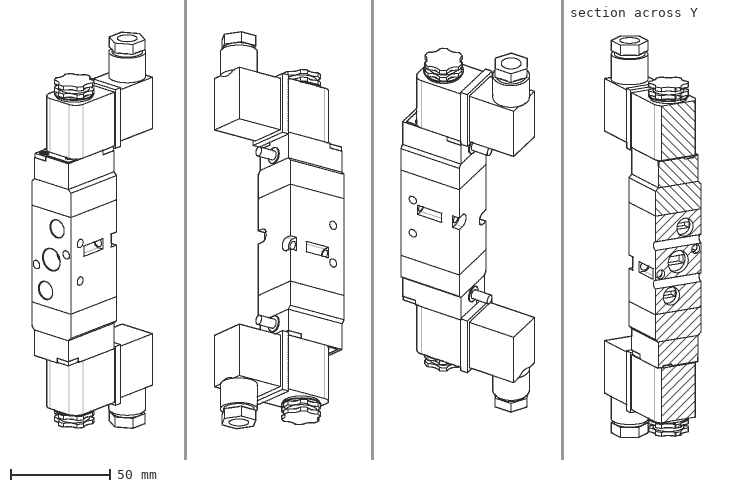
import cadquery as cq
import math


BODY_WIDTH = 26.5
BODY_DEPTH = 34.3
BODY_HALF_LENGTH = 26.0
CAP_END_Z = 40.7
CAP_CHAMFER = 1.7

MAIN_PORT_DIAMETER = 11.4
MAIN_POCKET_WIDTH = 8.9
MAIN_POCKET_HEIGHT = 4.3
SIDE_PORT_DIAMETER = 9.0
SIDE_POCKET_WIDTH = 7.9
SIDE_POCKET_HEIGHT = 3.0
SIDE_PORT_X = 4.0
SIDE_PORT_Z = 17.5
PORT_DEPTH = 10.3
PORT_CHAMFER = 0.3
POCKET_DEPTH = 4.1

HOLE_DIAMETER = 4.3
MOUNT_X = 10.1
MOUNT_Z = 5.2
SLOT_HEIGHT = 5.5
SLOT_START_Y = 10.0
SLOT_END_Y = 24.0
NUT_SLOT_HEIGHT = 7.0
NUT_SLOT_DEPTH = 4.0
CROSS_HOLE_Y = 7.0
CROSS_HOLE_Z = 10.1

PILOT_WIDTH = 23.1
PILOT_END_Z = 54.5
RELIEF = 0.2
CORNER_SIZE = 7.6
BACK_CORNER_LENGTH = 8.3
CORNER_HEIGHT = 2.5
RIM_SIDE = 1.2
RIM_FRONT = 1.7
SCREW_X = -7.9
SCREW_Y = 3.3
SCREW_HOLE_DIAMETER = 4.8
SCREW_HEAD_DIAMETER = 4.3
SCREW_RECESS_DEPTH = 1.0
SCREW_SLOT_WIDTH = 0.8
SCREW_SLOT_DEPTH = 0.6
VENT_X = 6.2
VENT_Y = 7.2
VENT_DIAMETER = 4.8
VENT_DEPTH = 1.0
PIN_Z = 45.2
PIN_DIAMETER = 4.8
PIN_END_Y = 44.2
COLLAR_DIAMETER = 8.3
COLLAR_THICKNESS = 0.6

COIL_FRONT_Y = 6.0
COIL_END_Z = 83.5
COIL_CORNER_RADIUS = 5.2
PLATE_FRONT_Y = 34.5
PLATE_BACK_Y = 38.5
PLATE_WIDTH = 24.4
PLATE_START_Z = 53.3
PLATE_END_Z = 85.0
PLUG_WIDTH = 20.7
PLUG_BACK_Y = 64.5
PLUG_START_Z = 55.2
PLUG_END_Z = 82.8

GLAND_Y = 56.8
GLAND_DIAMETER = 18.5
GLAND_START_Z = 81.0
GLAND_CHAMFER = 1.9
GLAND_END_Z = 96.0
GLAND_NECK_DIAMETER = 15.5
HEX_START_Z = 98.0
END_Z = 103.3
CABLE_HOLE_DIAMETER = 10.0
CABLE_HOLE_DEPTH = 8.3

NUT_Y = 17.1
NUT_DIAMETER = 20.0
NUT_NECK_DIAMETER = 18.5
NUT_CORE_DIAMETER = 15.5
WASHER_START_Z = 84.7
WASHER_END_Z = 85.1
RING_STARTS_Z = (85.5, 89.7)
RING_HEIGHT = 2.0
SCALLOP_COUNT = 6
SCALLOP_RADIUS = 5.5
SCALLOP_FLOOR_RADIUS = 8.3


def box(x_range, y_range, z_range):
    """Box between the given low and high limits on each axis."""
    lows, highs = zip(x_range, y_range, z_range)
    sizes = [high - low for low, high in zip(lows, highs)]
    return cq.Workplane("XY").box(*sizes, centered=False).translate(lows)


def centred_box(width, y_range, z_range):
    """Box of the given width, symmetric about x = 0."""
    return box((-width / 2, width / 2), y_range, z_range)


def z_cylinder(diameter, x, y, z_range):
    """Cylinder along Z."""
    low, high = z_range
    return cq.Workplane("XY", origin=(x, y, low)).circle(diameter / 2).extrude(high - low)


def y_cylinder(diameter, x, z, y_range):
    """Cylinder along Y."""
    low, high = y_range
    return cq.Workplane("XZ", origin=(x, low, z)).circle(diameter / 2).extrude(low - high)


def half_turn(shape):
    """The shape turned 180 degrees about the Y axis."""
    return shape.rotate((0, 0, 0), (0, 1, 0), 180)


def port(x, z, diameter, pocket_width, pocket_height):
    """Cutter for a blind, countersunk port with a rectangular pocket in its floor."""
    pocket = box(
        (x - pocket_width / 2, x + pocket_width / 2),
        (0, PORT_DEPTH + POCKET_DEPTH),
        (z - pocket_height / 2, z + pocket_height / 2),
    )
    bore = y_cylinder(diameter, x, z, (0, PORT_DEPTH))
    countersink = (
        cq.Workplane("XZ", origin=(x, 0, z))
        .circle(diameter / 2 + PORT_CHAMFER)
        .extrude(-PORT_CHAMFER, taper=45)
    )
    return bore.union(countersink).union(pocket)


def side_slot(height, y_range):
    """Cutter for a round-ended slot from the -X mounting hole out to the -X wall."""
    opening = box(
        (-BODY_WIDTH / 2, -MOUNT_X),
        y_range,
        (-MOUNT_Z - height / 2, -MOUNT_Z + height / 2),
    )
    return y_cylinder(height, -MOUNT_X, -MOUNT_Z, y_range).union(opening)


def make_valve_body():
    body = centred_box(BODY_WIDTH, (0, BODY_DEPTH), (-BODY_HALF_LENGTH, BODY_HALF_LENGTH))
    body = body.cut(port(0, 0, MAIN_PORT_DIAMETER, MAIN_POCKET_WIDTH, MAIN_POCKET_HEIGHT))

    side_port = port(SIDE_PORT_X, SIDE_PORT_Z, SIDE_PORT_DIAMETER, SIDE_POCKET_WIDTH, SIDE_POCKET_HEIGHT)
    mount_hole = y_cylinder(HOLE_DIAMETER, -MOUNT_X, -MOUNT_Z, (0, BODY_DEPTH))
    middle_slot = side_slot(SLOT_HEIGHT, (SLOT_START_Y, SLOT_END_Y))
    nut_slot = side_slot(NUT_SLOT_HEIGHT, (BODY_DEPTH - NUT_SLOT_DEPTH, BODY_DEPTH))
    cross_hole = (
        cq.Workplane("YZ", origin=(-BODY_WIDTH / 2, CROSS_HOLE_Y, CROSS_HOLE_Z))
        .circle(HOLE_DIAMETER / 2)
        .extrude(BODY_WIDTH)
    )
    for cutter in (side_port, mount_hole, middle_slot, nut_slot, cross_hole):
        body = body.cut(cutter).cut(half_turn(cutter))
    return body


def make_end_cap():
    cap = centred_box(BODY_WIDTH, (0, BODY_DEPTH), (BODY_HALF_LENGTH, CAP_END_Z))
    return cap.faces(">Z").edges("|Y").chamfer(CAP_CHAMFER)


def cut_corner(block, x_side, y_range, y_wall):
    """Set the three outer faces of a top corner back by the relief depth."""
    half_width = PILOT_WIDTH / 2
    x_range = sorted((x_side * half_width, x_side * (half_width - CORNER_SIZE)))
    x_wall = sorted((x_side * half_width, x_side * (half_width - RELIEF)))
    z_range = (PILOT_END_Z - CORNER_HEIGHT, PILOT_END_Z)
    block = block.cut(box(x_range, y_range, (PILOT_END_Z - RELIEF, PILOT_END_Z)))
    block = block.cut(box(x_wall, y_range, z_range))
    return block.cut(box(x_range, y_wall, z_range))


def cut_screw(block):
    """Sink a cross-slotted screw head in the front corner, flush with the corner's top."""
    top = PILOT_END_Z - RELIEF
    depth_range = (top - SCREW_RECESS_DEPTH, top)
    gap = z_cylinder(SCREW_HOLE_DIAMETER, SCREW_X, SCREW_Y, depth_range)
    gap = gap.cut(z_cylinder(SCREW_HEAD_DIAMETER, SCREW_X, SCREW_Y, depth_range))
    block = block.cut(gap)
    for angle in (0, 90):
        slot = (
            cq.Workplane("XY", origin=(SCREW_X, SCREW_Y, top - SCREW_SLOT_DEPTH))
            .transformed(rotate=(0, 0, angle))
            .rect(SCREW_HEAD_DIAMETER, SCREW_SLOT_WIDTH)
            .extrude(SCREW_SLOT_DEPTH)
        )
        block = block.cut(slot)
    return block


def make_pilot_block():
    block = centred_box(PILOT_WIDTH, (0, BODY_DEPTH), (CAP_END_Z, PILOT_END_Z))

    ledge_width = PILOT_WIDTH - 2 * RIM_SIDE
    block = block.cut(
        centred_box(ledge_width, (RIM_FRONT, CORNER_SIZE), (PILOT_END_Z - RELIEF, PILOT_END_Z))
    )
    block = cut_corner(block, -1, (0, CORNER_SIZE), (0, RELIEF))
    block = cut_corner(
        block, 1, (BODY_DEPTH - BACK_CORNER_LENGTH, BODY_DEPTH), (BODY_DEPTH - RELIEF, BODY_DEPTH)
    )
    block = cut_screw(block)
    block = block.cut(z_cylinder(VENT_DIAMETER, VENT_X, VENT_Y, (PILOT_END_Z - VENT_DEPTH, PILOT_END_Z)))

    block = block.union(y_cylinder(COLLAR_DIAMETER, 0, PIN_Z, (BODY_DEPTH, BODY_DEPTH + COLLAR_THICKNESS)))
    return block.union(y_cylinder(PIN_DIAMETER, 0, PIN_Z, (BODY_DEPTH, PIN_END_Y)))


def make_cable_gland():
    gland = z_cylinder(GLAND_DIAMETER, 0, GLAND_Y, (GLAND_START_Z, GLAND_END_Z))
    gland = gland.faces("<Z").chamfer(GLAND_CHAMFER)
    gland = gland.union(z_cylinder(GLAND_NECK_DIAMETER, 0, GLAND_Y, (GLAND_END_Z, HEX_START_Z)))
    hexagon = (
        cq.Workplane("XY", origin=(0, GLAND_Y, HEX_START_Z))
        .transformed(rotate=(0, 0, 90))
        .polygon(6, GLAND_DIAMETER)
        .extrude(END_Z - HEX_START_Z)
    )
    return gland.union(hexagon)


def make_knurled_nut():
    nut = z_cylinder(NUT_NECK_DIAMETER, 0, NUT_Y, (COIL_END_Z, WASHER_START_Z))
    nut = nut.union(z_cylinder(NUT_DIAMETER, 0, NUT_Y, (WASHER_START_Z, WASHER_END_Z)))
    nut_end_z = RING_STARTS_Z[-1] + RING_HEIGHT
    nut = nut.union(z_cylinder(NUT_CORE_DIAMETER, 0, NUT_Y, (WASHER_END_Z, nut_end_z)))
    scallop_distance = SCALLOP_FLOOR_RADIUS + SCALLOP_RADIUS
    for start_z in RING_STARTS_Z:
        z_range = (start_z, start_z + RING_HEIGHT)
        ring = z_cylinder(NUT_DIAMETER, 0, NUT_Y, z_range)
        for index in range(SCALLOP_COUNT):
            angle = 2 * math.pi * index / SCALLOP_COUNT
            x = scallop_distance * math.cos(angle)
            y = NUT_Y + scallop_distance * math.sin(angle)
            ring = ring.cut(z_cylinder(2 * SCALLOP_RADIUS, x, y, z_range))
        nut = nut.union(ring)
    return nut


def make_solenoid():
    coil = centred_box(PILOT_WIDTH, (COIL_FRONT_Y, PLATE_FRONT_Y), (PILOT_END_Z, COIL_END_Z))
    coil = coil.faces("<Y").edges("|Z").fillet(COIL_CORNER_RADIUS)
    plate = centred_box(PLATE_WIDTH, (PLATE_FRONT_Y, PLATE_BACK_Y), (PLATE_START_Z, PLATE_END_Z))
    plug = centred_box(PLUG_WIDTH, (PLATE_BACK_Y, PLUG_BACK_Y), (PLUG_START_Z, PLUG_END_Z))
    solenoid = coil.union(plate).union(plug).union(make_cable_gland()).union(make_knurled_nut())
    return solenoid.cut(z_cylinder(CABLE_HOLE_DIAMETER, 0, GLAND_Y, (END_Z - CABLE_HOLE_DEPTH, END_Z)))


valve_body = make_valve_body()
end_parts = []
for make_part in (make_end_cap, make_pilot_block, make_solenoid):
    upper_part = make_part()
    end_parts += [upper_part.val(), half_turn(upper_part).val()]

result = cq.Compound.makeCompound([valve_body.val(), *end_parts])